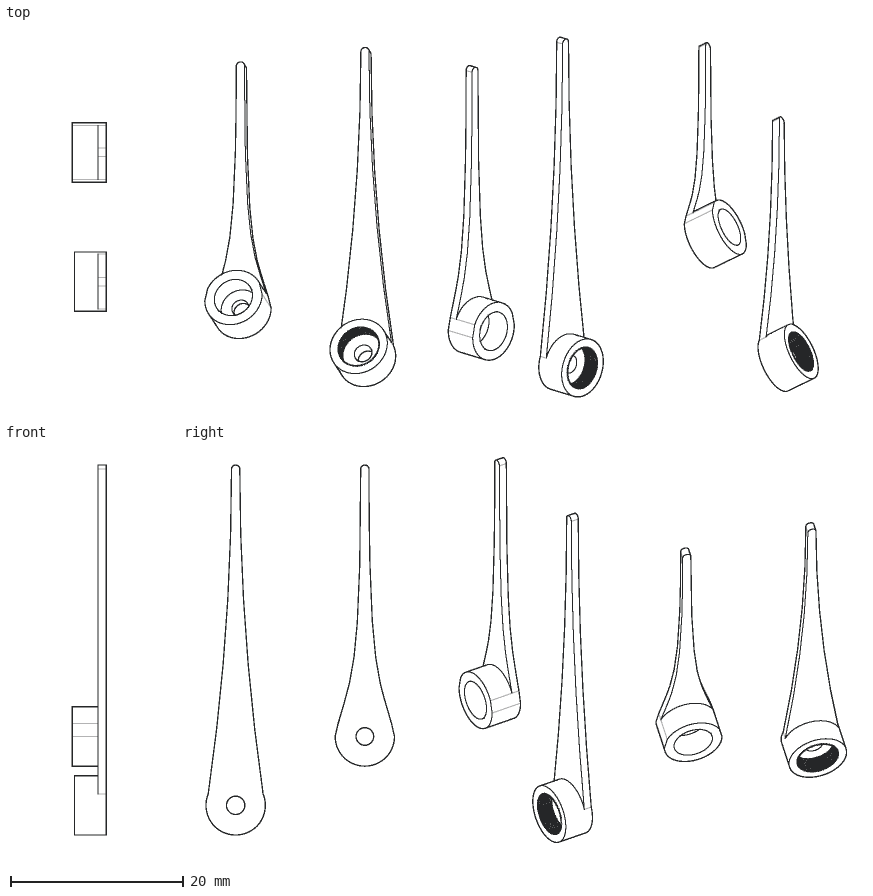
import cadquery as cq
import math


overall_height = 42.95
hub_diameter = 6.9
plate_thickness = 1.0
tip_width = 1.0
hand_spacing = 15.0
axis_drop = 8.0

long_hub_depth = 3.75
long_base_width = 6.8
long_hole_diameter = 2.1
tooth_root_diameter = 5.0
tooth_crest_diameter = 4.8
tooth_count = 75
toothed_bore_depth = 1.98

short_hub_depth = 4.0
short_bore_diameter = 4.6
short_hole_diameter = 2.0
flat_height = 1.5
waist_height = 7.75
base_reach = 5.6
base_slope = 0.28

hub_radius = hub_diameter / 2
tip_radius = tip_width / 2
back_x = short_hub_depth
short_bore_depth = short_hub_depth - plate_thickness
flat_top_y = math.sqrt(hub_radius**2 - flat_height**2)
long_axis_z = hub_radius
short_axis_z = long_axis_z + axis_drop
tip_center_z = overall_height - tip_radius


def extrude_to_back(profile, depth):
    """Extrude a YZ profile so that its far face lies on the common back plane."""
    return profile.extrude(depth).translate((back_x - depth, 0, 0))


def cut_bore(hand, profile, hub_depth, bore_depth):
    """Sink a YZ profile into the hub's front face."""
    cutter = profile.extrude(bore_depth).translate((back_x - hub_depth, 0, 0))
    return hand.cut(cutter)


def cut_through_hole(hand, diameter):
    """Drill along the hub axis."""
    return hand.cut(cq.Workplane("YZ").circle(diameter / 2).extrude(back_x))


def long_pointer(stem_height):
    """Outline whose sides are arcs, vertical at the tip and widening to the hub axis."""
    base_y = long_base_width / 2
    flare = base_y - tip_radius
    side_radius = (stem_height**2 + flare**2) / (2 * flare)
    half_angle = math.asin(stem_height / side_radius) / 2
    mid_y = tip_radius + side_radius * (1 - math.cos(half_angle))
    mid_z = stem_height - side_radius * math.sin(half_angle)
    return (
        cq.Workplane("YZ")
        .moveTo(base_y, 0)
        .threePointArc((mid_y, mid_z), (tip_radius, stem_height))
        .threePointArc((0, stem_height + tip_radius), (-tip_radius, stem_height))
        .threePointArc((-mid_y, mid_z), (-base_y, 0))
        .close()
    )


def toothed_profile():
    """Closed zigzag of straight-sided teeth."""
    points = []
    for step in range(2 * tooth_count):
        diameter = tooth_root_diameter if step % 2 == 0 else tooth_crest_diameter
        angle = math.pi * step / tooth_count
        points.append((diameter / 2 * math.cos(angle), diameter / 2 * math.sin(angle)))
    return cq.Workplane("YZ").polyline(points).close()


def make_long_hand():
    """Pointer on a round hub with a toothed bore."""
    hub = extrude_to_back(cq.Workplane("YZ").circle(hub_radius), long_hub_depth)
    pointer = extrude_to_back(long_pointer(tip_center_z - long_axis_z), plate_thickness)
    hand = hub.union(pointer)
    hand = cut_bore(hand, toothed_profile(), long_hub_depth, toothed_bore_depth)
    return cut_through_hole(hand, long_hole_diameter)


def short_hub_profile():
    """Circle with a small flat on each side, from the axis level up."""
    return (
        cq.Workplane("YZ")
        .moveTo(-hub_radius, 0)
        .threePointArc((0, -hub_radius), (hub_radius, 0))
        .lineTo(flat_top_y, flat_height)
        .threePointArc((0, hub_radius), (-flat_top_y, flat_height))
        .close()
    )


def short_pointer(stem_height):
    """Outline whose sides sweep in from the hub flats to a long slender tip."""
    side = [
        (flat_top_y, flat_height),
        (flat_top_y - base_slope * base_reach, flat_height + base_reach),
        (tip_radius, waist_height),
        (tip_radius, stem_height),
    ]
    opposite_side = [(-y, z) for y, z in reversed(side)]
    return (
        cq.Workplane("YZ")
        .moveTo(*side[0])
        .bezier(side)
        .threePointArc((0, stem_height + tip_radius), opposite_side[0])
        .bezier(opposite_side)
        .close()
    )


def make_short_hand():
    """Pointer on a flat-sided hub with a smooth bore reaching the plate."""
    hub = extrude_to_back(short_hub_profile(), short_hub_depth)
    pointer = extrude_to_back(short_pointer(tip_center_z - short_axis_z), plate_thickness)
    hand = hub.union(pointer)
    bore = cq.Workplane("YZ").circle(short_bore_diameter / 2)
    hand = cut_bore(hand, bore, short_hub_depth, short_bore_depth)
    return cut_through_hole(hand, short_hole_diameter)


long_hand = make_long_hand().translate((0, 0, long_axis_z))
short_hand = make_short_hand().translate((0, hand_spacing, short_axis_z))

result = cq.Compound.makeCompound([long_hand.solids().val(), short_hand.solids().val()])